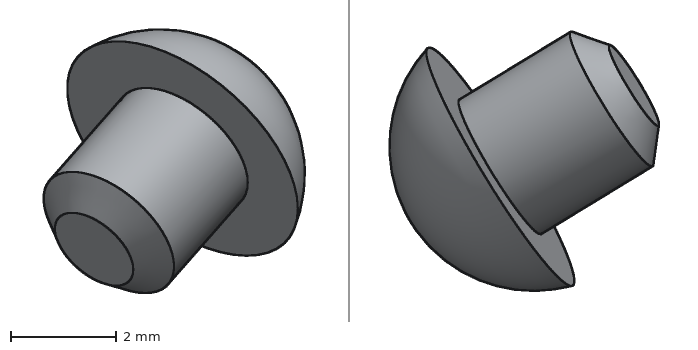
import cadquery as cq
import math

head_diameter = 5.3
head_height = 2.0
shank_diameter = 3.0
shank_length = 3.0
tip_diameter = 1.8
tip_taper_length = 0.5

head_radius = head_diameter / 2
shank_radius = shank_diameter / 2
tip_radius = tip_diameter / 2

dome_radius = (head_radius**2 + head_height**2) / (2 * head_height)
dome_center_y = head_height - dome_radius
dome_mid_angle = (math.asin(-dome_center_y / dome_radius) + math.pi / 2) / 2
dome_mid_point = (
    dome_radius * math.cos(dome_mid_angle),
    dome_center_y + dome_radius * math.sin(dome_mid_angle),
)

half_profile = (
    cq.Workplane("XY")
    .moveTo(0, -shank_length)
    .lineTo(tip_radius, -shank_length)
    .lineTo(shank_radius, tip_taper_length - shank_length)
    .lineTo(shank_radius, 0)
    .lineTo(head_radius, 0)
    .threePointArc(dome_mid_point, (0, head_height))
    .close()
)

result = half_profile.revolve(360, (0, 0, 0), (0, 1, 0))